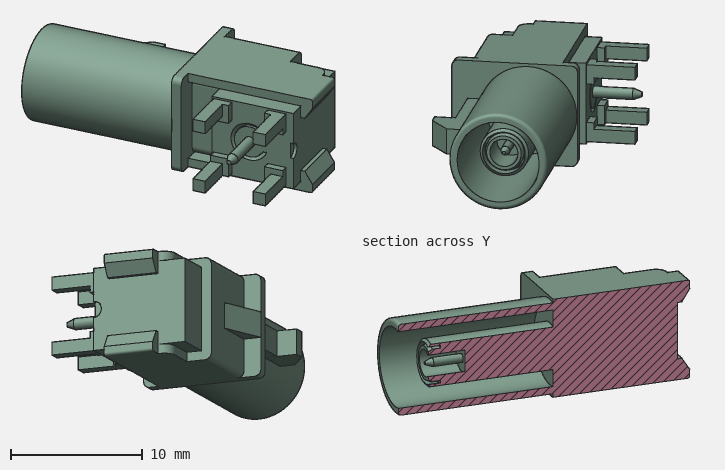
import cadquery as cq


barrel_radius = 3.775
barrel_rim_round = 0.27
bore_radius = 3.17

flange_start = 12.67
flange_end = 13.49
flange_bottom = -3.83
flange_top = 5.9
flange_corner_round = 0.5
half_width = 4.0
bore_depth = flange_start

tube_front = 2.45
shell_radius = 1.87
shell_mouth_radius = 1.65
shell_bevel_length = 0.2
sleeve_radius = 1.49
sleeve_face_radius = 1.34
sleeve_bevel_length = 0.35
tube_gap_depth = 1.0
tube_hole_radius = 1.08
tube_hole_depth = 3.0
contact_radius = 0.35
contact_tip_radius = 0.12
contact_taper_length = 0.6

key_width = 2.0
key_root = 3.4
key_start = 4.59
key_ramp_base = 4.82
key_peak_start = 6.53
key_peak_end = 7.53
key_peak = 6.28
key_ledge = 4.66

housing_bottom = -2.57
housing_top = 4.5
housing_edge_round = 0.5
step_x = 19.73
step_top = 2.47
step_round = 0.85
tail_start = 22.9
tail_end = 23.9
tail_top = 1.45
tail_end_round = 0.2
tail_inner = 2.27
tail_slope_start = 23.25
wall_inner = 3.27

core_bottom = -1.83
core_top = 3.69
core_edge_round = 0.62

rib_end = 17.25
rib_width = 2.0

foot_start = 16.08
foot_bottom = -3.87
foot_half_width = 3.22
notch_depth = 0.26
notch_radius = 0.63

pin_size = 1.02
pad_size = 1.53
pad_height = 0.58
pin_tip = -7.62
pin_outer_z = 3.06
pins_start = 16.21
pins_end = 22.27

center_x = 19.23
center_pin_radius = 0.44
center_tip_radius = 0.18
center_taper_start = -6.96
groove_outer_radius = 1.56
groove_inner_radius = 1.28
groove_depth = 0.28
groove_gap_half_width = 0.63


def box(x0, x1, y0, y1, z0, z1):
    """Box given by its limits along each axis."""
    return cq.Workplane("XY").box(x1 - x0, y1 - y0, z1 - z0, centered=False).translate((x0, y0, z0))


def plate(outline, thickness):
    """Closed XY outline extruded to a plate centred on Z = 0."""
    return outline.close().extrude(thickness / 2, both=True)


def revolve_about_x(points):
    """Solid of revolution from (x, radius) points."""
    return cq.Workplane("XY").polyline(points).close().revolve(360, (0, 0, 0), (1, 0, 0))


def revolve_about_center_pin(points):
    """Solid of revolution from (radius, y) points about the centre pin's axis."""
    profile = cq.Workplane("XY", origin=(center_x, 0, 0)).polyline(points).close()
    return profile.revolve(360, (0, 0, 0), (0, 1, 0))


def make_barrel():
    barrel = cq.Workplane("YZ").circle(barrel_radius).extrude(flange_end)
    barrel = barrel.faces("<X").edges().fillet(barrel_rim_round)
    bore = cq.Workplane("YZ").circle(bore_radius).extrude(bore_depth)
    return barrel.cut(bore)


def make_contact_tube():
    gap_end = tube_front + tube_gap_depth
    hole_end = tube_front + tube_hole_depth
    return revolve_about_x([
        (tube_front, 0),
        (tube_front, contact_tip_radius),
        (tube_front + contact_taper_length, contact_radius),
        (hole_end, contact_radius),
        (hole_end, tube_hole_radius),
        (tube_front, tube_hole_radius),
        (tube_front, sleeve_face_radius),
        (tube_front + sleeve_bevel_length, sleeve_radius),
        (gap_end, sleeve_radius),
        (gap_end, shell_mouth_radius),
        (tube_front, shell_mouth_radius),
        (tube_front + shell_bevel_length, shell_radius),
        (flange_end, shell_radius),
        (flange_end, 0),
    ])


def make_key():
    outline = cq.Workplane("XY").polyline([
        (key_start, key_root),
        (key_start, key_ramp_base),
        (key_peak_start, key_peak),
        (key_peak_end, key_peak),
        (key_peak_end, key_ledge),
        (flange_end, key_ledge),
        (flange_end, key_root),
    ])
    return plate(outline, key_width)


def make_flange():
    flange = box(flange_start, flange_end, flange_bottom, flange_top, -half_width, half_width)
    return flange.edges("|X").fillet(flange_corner_round)


def make_housing():
    front = box(flange_end, step_x, housing_bottom, housing_top, -half_width, half_width)
    front = front.edges("|X and >Y").fillet(housing_edge_round)

    rear = box(step_x, tail_start, housing_bottom, step_top, -half_width, half_width)
    rear = rear.edges("|Z and >X and >Y").fillet(step_round)

    tail = box(tail_start, tail_end, housing_bottom, tail_top, -half_width, half_width)
    tail = tail.edges("|Y and >X").fillet(tail_end_round)
    tail_opening = (
        cq.Workplane("XZ", origin=(0, housing_bottom, 0))
        .polyline([
            (tail_start, tail_inner),
            (tail_slope_start, tail_inner),
            (tail_end, wall_inner),
            (tail_end, -wall_inner),
            (tail_slope_start, -tail_inner),
            (tail_start, -tail_inner),
        ])
        .close()
        .extrude(housing_bottom - tail_top)
    )

    channel = box(flange_end, tail_start, housing_bottom, core_top, -wall_inner, wall_inner)
    return front.union(rear).cut(channel).union(tail.cut(tail_opening))


def make_core():
    core = box(flange_end, tail_start, core_bottom, core_top, -wall_inner, wall_inner)
    return core.edges("|X and <Y").fillet(core_edge_round)


def make_rib():
    outline = cq.Workplane("XY").polyline([
        (flange_end, core_top),
        (flange_end, flange_top),
        (rib_end, housing_top),
        (rib_end, core_top),
    ])
    return plate(outline, rib_width)


def make_groove():
    groove_floor = foot_bottom + groove_depth
    groove = revolve_about_center_pin([
        (groove_inner_radius, foot_bottom),
        (groove_outer_radius, foot_bottom),
        (groove_inner_radius, groove_floor),
    ])
    gap = box(
        center_x, tail_start, foot_bottom, groove_floor, -groove_gap_half_width, groove_gap_half_width
    )
    return groove.cut(gap)


def make_foot():
    foot = box(foot_start, tail_start, foot_bottom, core_top, -foot_half_width, foot_half_width)
    notch = cq.Workplane("YZ", origin=(tail_start - notch_depth, foot_bottom, 0))
    notch = notch.circle(notch_radius).extrude(notch_depth)
    return foot.cut(notch).cut(make_groove())


def make_corner_pins():
    middle_x = (pins_start + pins_end) / 2
    pad_bottom = foot_bottom - pad_height
    pin = box(pins_start, pins_start + pin_size, pin_tip, foot_bottom, pin_outer_z - pin_size, pin_outer_z)
    pad = box(
        pins_start, pins_start + pad_size, pad_bottom, foot_bottom, pin_outer_z - pad_size, pin_outer_z
    )
    front_pin = pin.union(pad)
    front_pair = front_pin.union(front_pin.mirror("XY"))
    return front_pair.union(front_pair.mirror("YZ", (middle_x, 0, 0)))


def make_center_pin():
    return revolve_about_center_pin([
        (0, core_bottom),
        (center_pin_radius, core_bottom),
        (center_pin_radius, center_taper_start),
        (center_tip_radius, pin_tip),
        (0, pin_tip),
    ])


result = (
    make_barrel()
    .union(make_contact_tube())
    .union(make_key())
    .union(make_flange())
    .union(make_housing())
    .union(make_core())
    .union(make_rib())
    .union(make_foot())
    .union(make_corner_pins())
    .union(make_center_pin())
)